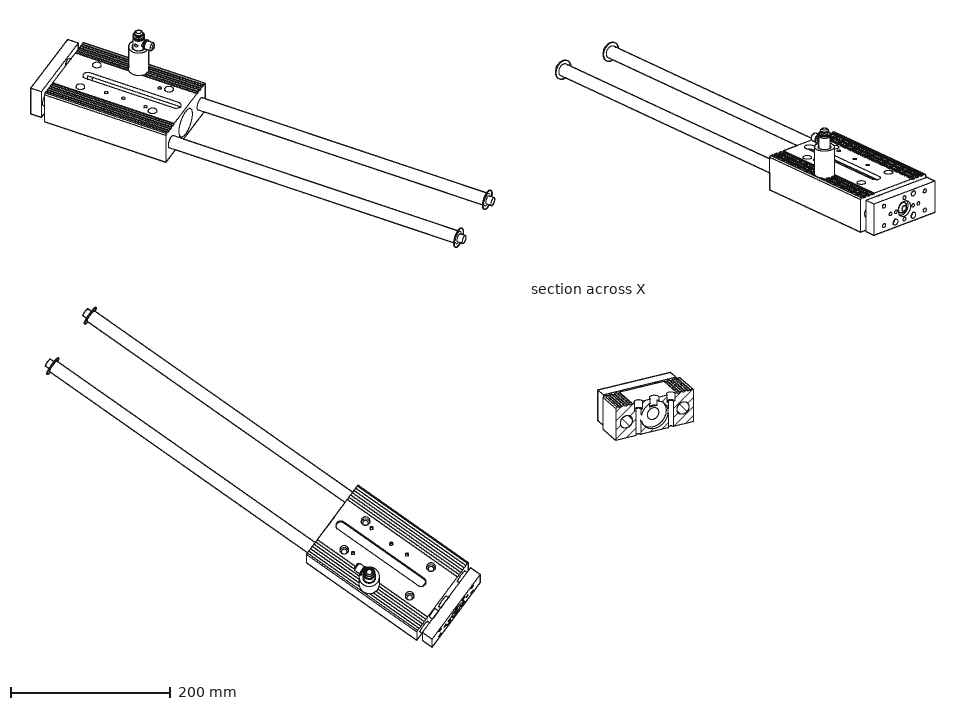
import cadquery as cq
total_length = 601.5

plate_thickness = 15.0
plate_width = 103.0
plate_height = 43.5
plate_bottom = 2.0

plate_gap = 6.0
housing_length = 170.0
housing_width = 110.0
housing_height = 47.0
edge_chamfer = 2.0
housing_front = plate_thickness + plate_gap
housing_back = housing_front + housing_length
axis_height = 23.0

groove_width = 3.5
groove_depth = 1.0
groove_pitch = 7.0
groove_count = 3
first_groove_y = 33.5

rod_diameter = 16.0
rod_y = 40.0
washer_diameter = 25.0
washer_thickness = 1.0
screw_head_diameter = 11.0
screw_head_length = 7.0
screw_head_start = total_length - screw_head_length
washer_start = screw_head_start - washer_thickness

piston_diameter = 16.0
collar_diameter = 18.5
collar_length = 2.0
bore_diameter = 37.0
bore_front = 51.0

slot_front = 48.0
slot_back = 184.0
slot_width = 12.0
slot_floor = 33.0

mount_front_x = 55.5
mount_spacing_x = 101.0
mount_y = 23.0
mount_diameter = 6.5
mount_counterbore_diameter = 11.0
mount_counterbore_depth = 11.0
pin_hole_diameter = 4.15
pin_hole_depth = 6.0
pin_hole_points = [(145.0, 20.0), (145.0, -20.0), (89.0, -18.0), (113.0, -18.0)]

bumper_diameter = 12.5
bumper_y = 21.5
bumper_z = 35.0

column_x = 105.0
column_diameter = 25.0
column_top = 84.0
column_recess_diameter = 16.0
column_recess_depth = 2.0
spindle_diameter = 12.5
spindle_top = 103.0
swivel_diameter = 14.5
swivel_top = 99.0
rim_thickness = 1.0
nipple_diameter = 9.0
cap_diameter = 10.0
cap_bottom = 105.0
fitting_top = 109.0
cap_chamfer = 2.0
port_z = 91.5
port_neck_diameter = 8.0
port_diameter = 11.0
port_collar_diameter = 12.5
port_collar_thickness = 2.0
port_start_x = 114.0
port_end_x = 126.0
port_chamfer = 2.0
side_hole_diameter = 4.15
side_hole_depth = 3.0

plate_hole_depth = 6.0
plate_holes = [
    (34.0, 36.5, 5.1),
    (-34.0, 36.5, 5.1),
    (34.0, 10.0, 5.1),
    (-34.0, 10.0, 5.1),
    (0, 38.0, 4.95),
    (0, 8.5, 4.95),
    (-15.0, 39.0, 6.5),
    (15.0, 9.0, 8.0),
    (-15.0, 9.0, 8.0),
    (23.5, axis_height, 4.5),
    (-23.5, axis_height, 4.5),
    (14.5, axis_height, 4.5),
    (-14.5, axis_height, 4.5),
]

piston_recess_diameter = 20.5
piston_recess_depth = 5.0
stud_diameter = 14.0
stud_chamfer = 3.0
stud_length = 4.0
stud_hole_diameter = 6.5
stud_hole_depth = 6.0


def rod_along_x(diameter, start, end, y, z):
    """Cylinder along X between two X positions."""
    return cq.Workplane("YZ", origin=(start, y, z)).circle(diameter / 2).extrude(end - start)


def rod_along_z(diameter, bottom, top, x, y):
    """Cylinder along Z between two heights."""
    return cq.Workplane("XY", origin=(x, y, bottom)).circle(diameter / 2).extrude(top - bottom)


def cut_grooves(block):
    for side in (1, -1):
        for index in range(groove_count):
            groove_y = side * (first_groove_y + index * groove_pitch)
            groove = cq.Workplane("XY").box(
                housing_length, groove_width, groove_depth, centered=(False, True, False)
            )
            block = block.cut(groove.translate((housing_front, groove_y, housing_height - groove_depth)))
    return block


def cut_slot_and_bore(block):
    slot = (
        cq.Workplane("XY", origin=((slot_front + slot_back) / 2, 0, slot_floor))
        .slot2D(slot_back - slot_front, slot_width)
        .extrude(housing_height - slot_floor)
    )
    bore = rod_along_x(bore_diameter, bore_front, housing_back, 0, axis_height)
    return block.cut(slot).cut(bore)


def cut_rod_passages(block):
    for side in (1, -1):
        block = block.cut(rod_along_x(rod_diameter, housing_front, housing_back, side * rod_y, axis_height))
    return block.cut(rod_along_x(piston_diameter, housing_front, bore_front, 0, axis_height))


def cut_top_holes(block):
    counterbore_floor = housing_height - mount_counterbore_depth
    for x in (mount_front_x, mount_front_x + mount_spacing_x):
        for y in (mount_y, -mount_y):
            block = block.cut(rod_along_z(mount_diameter, 0, housing_height, x, y))
            block = block.cut(
                rod_along_z(mount_counterbore_diameter, counterbore_floor, housing_height, x, y)
            )
    for x, y in pin_hole_points:
        block = block.cut(
            rod_along_z(pin_hole_diameter, housing_height - pin_hole_depth, housing_height, x, y)
        )
    return block


def make_column():
    """Lock column that stands on the housing above one guide rod."""
    column_bottom = housing_height - groove_depth
    column = rod_along_z(column_diameter, column_bottom, column_top, column_x, rod_y)
    recess_floor = column_top - column_recess_depth
    return column.cut(rod_along_z(column_recess_diameter, recess_floor, column_top, column_x, rod_y))


def make_fitting():
    """Air fitting on the column: swivel with a side port, spindle, and a capped nipple."""
    swivel_bottom = column_top - column_recess_depth
    fitting = rod_along_z(swivel_diameter, swivel_bottom, swivel_top, column_x, rod_y)
    fitting = fitting.union(rod_along_z(spindle_diameter, swivel_top, spindle_top, column_x, rod_y))
    rim_bottom = spindle_top - rim_thickness
    fitting = fitting.union(rod_along_z(swivel_diameter, rim_bottom, spindle_top, column_x, rod_y))
    fitting = fitting.union(rod_along_z(nipple_diameter, spindle_top, cap_bottom, column_x, rod_y))
    cap = rod_along_z(cap_diameter, cap_bottom, fitting_top, column_x, rod_y)
    fitting = fitting.union(cap.faces(">Z").chamfer(cap_chamfer))
    fitting = fitting.union(rod_along_x(port_neck_diameter, column_x, port_start_x, rod_y, port_z))
    collar_end = port_start_x + port_collar_thickness
    fitting = fitting.union(rod_along_x(port_collar_diameter, port_start_x, collar_end, rod_y, port_z))
    port = rod_along_x(port_diameter, port_start_x, port_end_x, rod_y, port_z)
    fitting = fitting.union(port.faces(">X").chamfer(port_chamfer))
    side_hole = (
        cq.Workplane("XZ", origin=(column_x, rod_y - swivel_diameter / 2 + side_hole_depth, port_z))
        .circle(side_hole_diameter / 2)
        .extrude(side_hole_depth)
    )
    return fitting.cut(side_hole)


def make_housing():
    block = (
        cq.Workplane("XY", origin=(housing_front, 0, 0))
        .box(housing_length, housing_width, housing_height, centered=(False, True, False))
        .faces(">Z")
        .edges("|X")
        .chamfer(edge_chamfer)
    )
    block = cut_grooves(block)
    block = block.union(make_column())
    block = cut_slot_and_bore(block)
    block = cut_rod_passages(block)
    block = cut_top_holes(block)
    block = block.union(make_fitting())
    return block.union(rod_along_x(bumper_diameter, plate_thickness, housing_front, bumper_y, bumper_z))


def make_plate():
    plate = cq.Workplane("XY", origin=(0, 0, plate_bottom)).box(
        plate_thickness, plate_width, plate_height, centered=(False, True, False)
    )
    for y, z, diameter in plate_holes:
        plate = plate.cut(rod_along_x(diameter, 0, plate_hole_depth, y, z))
    plate = plate.cut(rod_along_x(piston_recess_diameter, 0, piston_recess_depth, 0, axis_height))
    stud_front = piston_recess_depth - stud_length
    stud = rod_along_x(stud_diameter, stud_front, piston_recess_depth, 0, axis_height)
    plate = plate.union(stud.faces("<X").chamfer(stud_chamfer))
    return plate.cut(rod_along_x(stud_hole_diameter, stud_front, stud_front + stud_hole_depth, 0, axis_height))


def make_guide_rod(y):
    """Guide rod that ends in a washer and a screw head."""
    rod = rod_along_x(rod_diameter, plate_thickness, washer_start, y, axis_height)
    rod = rod.union(rod_along_x(washer_diameter, washer_start, screw_head_start, y, axis_height))
    return rod.union(rod_along_x(screw_head_diameter, screw_head_start, total_length, y, axis_height))


def make_slide():
    slide = make_plate()
    for side in (1, -1):
        slide = slide.union(make_guide_rod(side * rod_y))
    collar_end = plate_thickness + collar_length
    slide = slide.union(rod_along_x(piston_diameter, plate_thickness, bore_front, 0, axis_height))
    return slide.union(rod_along_x(collar_diameter, plate_thickness, collar_end, 0, axis_height))


housing = make_housing()
slide = make_slide()
result = cq.Compound.makeCompound([housing.val(), slide.val()])